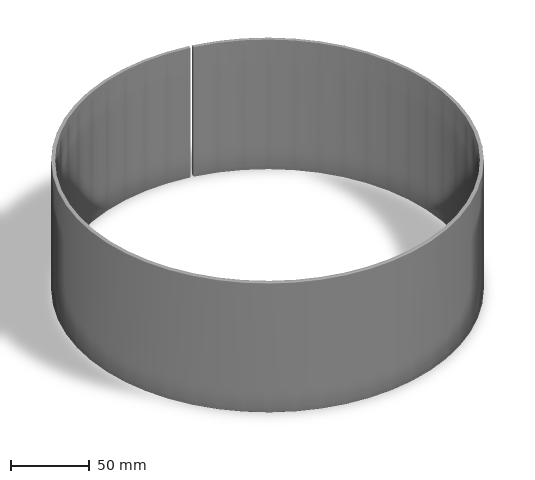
import cadquery as cq

outer_diameter = 275.0
wall_thickness = 2.5
height = 100.0
slit_width = 2.2
rim_rounding = 0.5

outer_radius = outer_diameter / 2
inner_radius = outer_radius - wall_thickness

outer_body = (
    cq.Workplane("XY")
    .circle(outer_radius)
    .extrude(height)
    .faces("|Z")
    .edges()
    .fillet(rim_rounding)
)
bore = cq.Workplane("XY").circle(inner_radius).extrude(height)
ring = outer_body.cut(bore)

slit_depth = 4 * wall_thickness
slit = (
    cq.Workplane("XY")
    .center(-outer_radius, slit_width / 2)
    .rect(slit_depth, slit_width)
    .extrude(height)
)

result = ring.cut(slit)